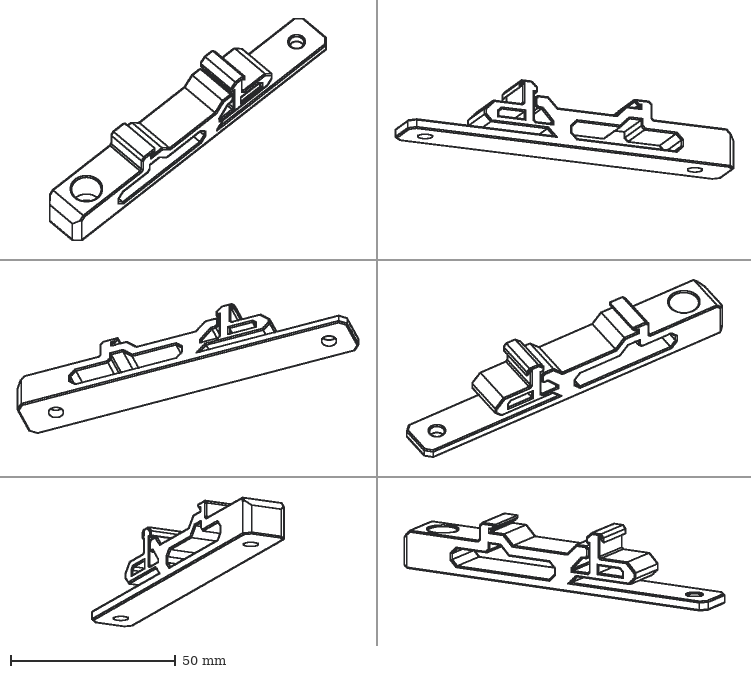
import cadquery as cq

width = 14.0
length = 107.35
edge_break = 0.4

plate_top = 3.0
body_top = 12.0
seat_top = 15.2
hook_top = 17.8
latch_top = 19.6
arm_bottom = 5.1
pocket_floor = 6.8

foot_bevel = 0.5

end_slope = 3.0
corner_cut = 2.0

hook_back = 27.6
hook_wall = 31.5
hook_tip = 33.3
hook_throat = 16.0
hook_lip = 17.1
hook_bevel = 1.0
seat_front = 36.3

rear_seat_front = 61.9
rear_seat_nose = 66.1
rear_seat_bevel = 0.8
rear_seat_bottom = 11.2
rear_seat_root = 64.0
pocket_front = 60.5
pocket_corner = 7.4

post_front = 66.4
post_back = 70.1
nib_tip = 65.4
nib_bottom = 16.1
nib_bevel = 0.4
head_front = 67.3
head_shoulder = 17.9
barb_tip = 71.4
barb_bottom = 17.0
barb_shoulder = 18.5
barb_root = 18.2
head_back = 70.5

arm_nose = 82.8
arm_top_bevel = 3.0
arm_bottom_bevel = 2.1
arm_root = 62.1

arm_window_front = 69.7
arm_window_back = 78.1
arm_window_bottom = 7.25
arm_window_top = 9.6
arm_window_bevel = 0.9

window_front = 17.9
window_back = 54.1
window_bottom = plate_top
window_top = 8.5
window_bevel = 1.8
vault_top = 11.5
vault_front = 31.2
vault_back = 35.0
vault_bevel = 1.1

screw_diameter = 4.5
head_diameter = 9.0
head_floor = plate_top
thick_end_hole_y = 10.7
plate_hole_y = 99.6

tolerance = 0.01


def extrude_profile(points):
    """Extrude a (Y, Z) outline across the full width, centred on X = 0."""
    return cq.Workplane("YZ").polyline(points).close().extrude(width / 2, both=True)


def outline():
    seat_rise = seat_top - body_top
    return [
        (0, 0),
        (0, body_top - end_slope),
        (end_slope, body_top),
        (hook_back - foot_bevel, body_top),
        (hook_back, body_top + foot_bevel),
        (hook_back, hook_top - hook_bevel),
        (hook_back + hook_bevel, hook_top),
        (hook_tip, hook_top),
        (hook_tip, hook_lip),
        (hook_tip - (hook_lip - hook_throat), hook_throat),
        (hook_wall, hook_throat),
        (hook_wall, seat_top),
        (seat_front, seat_top),
        (seat_front + seat_rise, body_top),
        (rear_seat_front - seat_rise, body_top),
        (rear_seat_front, seat_top),
        (rear_seat_nose - rear_seat_bevel, seat_top),
        (rear_seat_nose, seat_top - rear_seat_bevel),
        (rear_seat_nose, rear_seat_bottom + rear_seat_bevel),
        (rear_seat_nose - rear_seat_bevel, rear_seat_bottom),
        (rear_seat_root, rear_seat_bottom),
        (pocket_front, pocket_corner),
        (pocket_front, pocket_floor),
        (post_front - foot_bevel, pocket_floor),
        (post_front, pocket_floor + foot_bevel),
        (post_front, nib_bottom),
        (nib_tip + nib_bevel, nib_bottom),
        (nib_tip, nib_bottom + nib_bevel),
        (nib_tip, head_shoulder),
        (head_front, latch_top),
        (head_back, latch_top),
        (barb_tip, barb_shoulder),
        (barb_tip, barb_bottom),
        (post_back, barb_root),
        (post_back, body_top + foot_bevel),
        (post_back + foot_bevel, body_top),
        (arm_nose - arm_top_bevel, body_top),
        (arm_nose, body_top - arm_top_bevel),
        (arm_nose, arm_bottom + arm_bottom_bevel),
        (arm_nose - arm_bottom_bevel, arm_bottom),
        (arm_root, arm_bottom),
        (arm_root - (arm_bottom - plate_top), plate_top),
        (length, plate_top),
        (length, 0),
    ]


def window_outline():
    vault_rise = vault_top - window_top
    return [
        (window_front + window_bevel, window_bottom),
        (window_front, window_bottom + window_bevel),
        (window_front, window_top - window_bevel),
        (window_front + window_bevel, window_top),
        (vault_front - vault_bevel, window_top),
        (vault_front, window_top + vault_bevel),
        (vault_front, vault_top),
        (vault_back, vault_top),
        (vault_back + vault_rise, window_top),
        (window_back - window_bevel, window_top),
        (window_back, window_top - window_bevel),
        (window_back, window_bottom + window_bevel),
        (window_back - window_bevel, window_bottom),
    ]


def arm_window_outline():
    return [
        (arm_window_front, arm_window_bottom),
        (arm_window_front, arm_window_top),
        (arm_window_back - arm_window_bevel, arm_window_top),
        (arm_window_back, arm_window_top - arm_window_bevel),
        (arm_window_back, arm_window_bottom),
    ]


def is_end_corner(edge):
    """True for the upright edges where a side face meets an end corner chamfer."""
    centre = edge.Center()
    box = edge.BoundingBox()
    is_upright = box.ylen < tolerance and box.xlen < tolerance
    at_end = centre.y < corner_cut + tolerance or centre.y > length - corner_cut - tolerance
    return is_upright and at_end


def is_plate_end_rim(edge):
    """True for the top edges of the plate end and of its two corner chamfers."""
    centre = edge.Center()
    at_plate_top = abs(centre.z - plate_top) < tolerance
    return at_plate_top and centre.y > length - corner_cut - tolerance


def break_edges(solid):
    """Chamfer the side-face outlines, the underside and the top edge of the plate end."""
    side_edges = solid.faces("<X or >X").edges().filter(lambda edge: not is_end_corner(edge))
    underside_ends = solid.faces("<Z").edges("not |Y")
    plate_end = solid.edges().filter(is_plate_end_rim)
    return side_edges.add(underside_ends).add(plate_end).chamfer(edge_break)


def hole_cutter(diameter, y, bottom, top):
    """Upright round hole whose mouth is chamfered at the top."""
    radius = diameter / 2
    mouth_radius = radius + edge_break
    profile = [
        (0, bottom),
        (radius, bottom),
        (radius, top - edge_break),
        (mouth_radius, top),
        (0, top),
    ]
    cutter = cq.Workplane("XZ").polyline(profile).close().revolve(360, (0, 0), (0, 1))
    return cutter.translate((0, y, 0))


body = extrude_profile(outline())
body = body.cut(extrude_profile(window_outline()))
body = body.cut(extrude_profile(arm_window_outline()))
body = body.edges("|Z and (<Y or >Y)").chamfer(corner_cut)
body = break_edges(body)

body = body.cut(hole_cutter(screw_diameter, plate_hole_y, 0, plate_top))
body = body.cut(hole_cutter(head_diameter, thick_end_hole_y, head_floor, body_top))
thick_end_bore = cq.Workplane("XY").center(0, thick_end_hole_y).circle(screw_diameter / 2)
result = body.cut(thick_end_bore.extrude(head_floor))